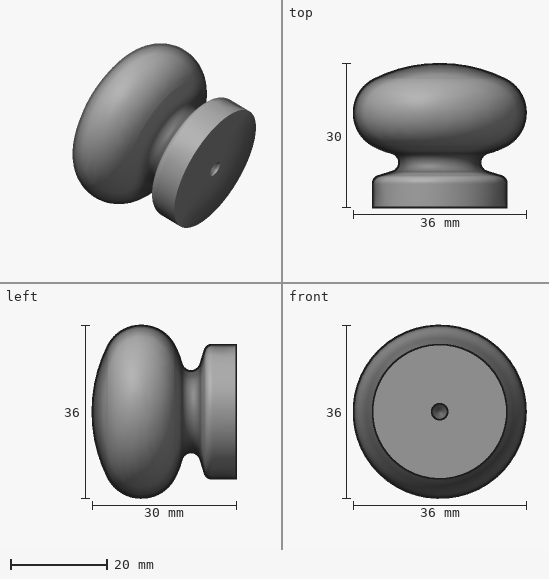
import cadquery as cq
import math

total_height = 30.0

bulb_radius = 17.98
rim_radius = 7.8
rim_center = (bulb_radius - rim_radius, 19.77)
underside_angle = 29.0

neck_radius = 8.5
groove_radius = 2.0
groove_center = (neck_radius + groove_radius, 9.42)

base_radius = 14.0
base_wall_height = 5.0
shoulder_angle = 17.0

hole_radius = 1.65
hole_depth = 11.85
drill_point_angle = 118.0


def along(point, distance, direction):
    return (point[0] + distance * direction[0], point[1] + distance * direction[1])


def dot(a, b):
    return a[0] * b[0] + a[1] * b[1]


def offset(start, end):
    return (end[0] - start[0], end[1] - start[1])


def unit(vector):
    length = math.hypot(*vector)
    return (vector[0] / length, vector[1] / length)


def arc_middle(center, radius, start, end):
    """Middle point of the shorter arc from start to end."""
    to_start = offset(center, start)
    to_end = offset(center, end)
    return along(center, radius, unit((to_start[0] + to_end[0], to_start[1] + to_end[1])))


def normal_of_slope(angle):
    """Upward normal of a surface that falls outward at the given angle."""
    return (math.sin(math.radians(angle)), math.cos(math.radians(angle)))


def make_body():
    shoulder_normal = normal_of_slope(shoulder_angle)
    wall_top = (base_radius, base_wall_height)
    wall_gap = -dot(offset(groove_center, wall_top), shoulder_normal) - groove_radius
    edge_radius = wall_gap / (1 - shoulder_normal[0])
    edge_center = (base_radius - edge_radius, base_wall_height)
    shoulder_outer = along(edge_center, edge_radius, shoulder_normal)
    shoulder_inner = along(groove_center, -groove_radius, shoulder_normal)

    tilt = normal_of_slope(underside_angle)
    inward = (-tilt[0], tilt[1])
    rim_bottom = along(rim_center, -rim_radius, inward)
    reach = offset(groove_center, rim_bottom)
    underside_radius = (dot(reach, reach) - groove_radius**2) / (2 * (groove_radius - dot(reach, inward)))
    underside_center = along(rim_bottom, underside_radius, inward)
    groove_top = along(groove_center, groove_radius, unit(offset(groove_center, underside_center)))
    underside_middle = arc_middle(underside_center, underside_radius, groove_top, rim_bottom)

    rise = total_height - rim_center[1]
    dome_radius = (rim_center[0]**2 + rise**2 - rim_radius**2) / (2 * (rise - rim_radius))
    dome_center = (0, total_height - dome_radius)
    dome_top = (0, total_height)
    rim_top = along(dome_center, dome_radius, unit(offset(dome_center, rim_center)))

    profile = (
        cq.Workplane("XY")
        .lineTo(base_radius, 0)
        .lineTo(*wall_top)
        .threePointArc(arc_middle(edge_center, edge_radius, wall_top, shoulder_outer), shoulder_outer)
        .lineTo(*shoulder_inner)
        .threePointArc((neck_radius, groove_center[1]), groove_top)
        .threePointArc(underside_middle, rim_bottom)
        .threePointArc((bulb_radius, rim_center[1]), rim_top)
        .threePointArc(arc_middle(dome_center, dome_radius, rim_top, dome_top), dome_top)
        .close()
    )
    return profile.revolve(360, (0, 0), (0, 1))


def make_screw_hole():
    point_length = hole_radius / math.tan(math.radians(drill_point_angle / 2))
    profile = (
        cq.Workplane("XY")
        .lineTo(hole_radius, 0)
        .lineTo(hole_radius, hole_depth)
        .lineTo(0, hole_depth + point_length)
        .close()
    )
    return profile.revolve(360, (0, 0), (0, 1))


result = make_body().cut(make_screw_hole())